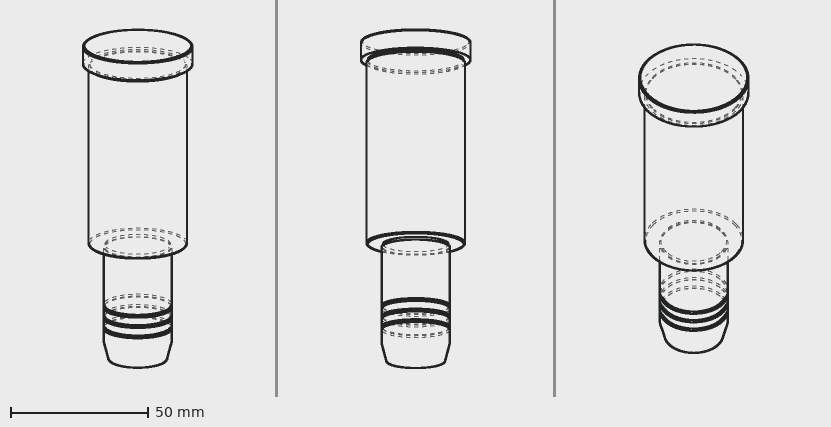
import cadquery as cq

total_length = 120.0

head_radius = total_length / 6
head_height = 7.0
head_bottom = total_length - head_height

sleeve_radius = 18.0
sleeve_bottom = 44.0

pin_radius = 12.5
taper_height = 7.0
tip_radius = 10.7

edge_chamfer = 0.5
tip_fillet = 0.7

relief_height = 1.1
relief_depth = 0.5

groove_count = 3
groove_width = 1.1
groove_depth = groove_width / 2
groove_pitch = 4.0
lowest_groove_bottom = 12.0


def cylinder(radius, bottom, top):
    return cq.Workplane("XY").workplane(offset=bottom).circle(radius).extrude(top - bottom)


def turned(half_section):
    """Revolve a closed outline of (radius, height) points about the Z axis."""
    return cq.Workplane("XZ").polyline(half_section).close().revolve(360, (0, 0), (0, 1))


def make_head():
    return cylinder(head_radius, head_bottom, total_length).faces(">Z").edges().chamfer(edge_chamfer)


def make_sleeve():
    """Sleeve with both rims chamfered, joined to the head by a relief neck."""
    sleeve_top = head_bottom - relief_height + relief_depth
    sleeve = cylinder(sleeve_radius, sleeve_bottom, sleeve_top)
    sleeve = sleeve.faces("<Z").edges().chamfer(edge_chamfer)
    sleeve = sleeve.faces(">Z").edges().chamfer(relief_depth)
    neck = cylinder(sleeve_radius - relief_depth, sleeve_top, head_bottom)
    return sleeve.union(neck)


def make_pin():
    """Pin with a square-shouldered relief neck above it and a tapered tip below it."""
    pin_top = sleeve_bottom - relief_height
    neck = cylinder(pin_radius - relief_depth, pin_top, sleeve_bottom)
    tip = turned([(0, 0), (tip_radius, 0), (pin_radius, taper_height), (0, taper_height)])
    tip = tip.faces("<Z").edges().fillet(tip_fillet)
    return cylinder(pin_radius, taper_height, pin_top).union(neck).union(tip)


def groove_cutter(bottom):
    """Ring of triangular section that cuts one V groove into the pin."""
    return turned([
        (pin_radius, bottom),
        (pin_radius - groove_depth, bottom + groove_width / 2),
        (pin_radius, bottom + groove_width),
    ])


result = make_head().union(make_sleeve()).union(make_pin())
for index in range(groove_count):
    result = result.cut(groove_cutter(lowest_groove_bottom + index * groove_pitch))